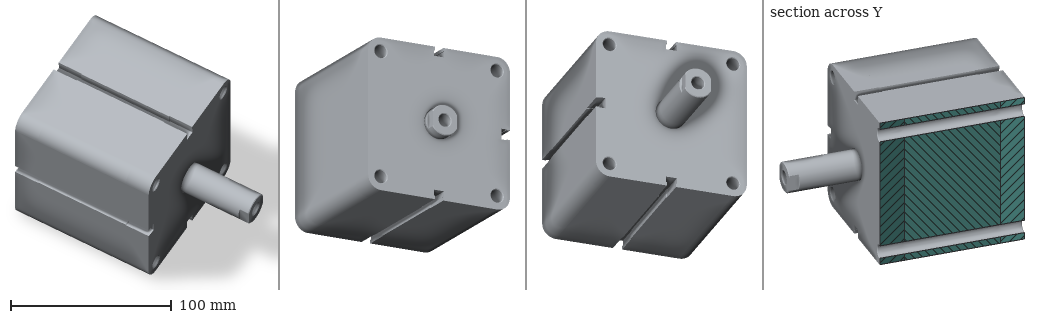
import cadquery as cq
import math


CHAMFER = 0.5

ROD_LENGTH = 152.5
ROD_DIAMETER = 20.0
FLATS_WIDTH = 17.1
FLATS_LENGTH = 6.4
FLATS_RUNOUT = 0.3
ROD_HOLE_DEPTH = 22.9
DRILL_POINT_ANGLE = 118.0

SQUARE = 100.0
CORNER_RADIUS = 9.0
ROD_STICKOUT = 8.0
CAP_LENGTH = 16.5
BARREL_LENGTH = 63.7

HOLE_DIAMETER = 8.4
HOLE_OFFSET = SQUARE / 2 - CORNER_RADIUS

SLOT_DEPTH = 6.1
BARREL_SLOT_MOUTH = 5.2
BARREL_SLOT_LIP = 2.5
CAP_SLOT_MOUTH = 6.1
CAP_SLOT_LIP = 2.3
SLOT_UNDERCUT = 0.5
SLOT_ANGLES = (0, 90, 180)


def t_slots(x_start, length, mouth, lip):
    """Three T-slot cutters: a narrow mouth at the outer face and a wider base below the lip."""
    base = mouth + 2 * SLOT_UNDERCUT
    base_height = SLOT_DEPTH - lip
    floor_z = SQUARE / 2 - SLOT_DEPTH
    cutter = (
        cq.Workplane("XY")
        .box(length, mouth, SLOT_DEPTH, centered=(False, True, False))
        .union(cq.Workplane("XY").box(length, base, base_height, centered=(False, True, False)))
        .translate((x_start, 0, floor_z))
    )
    cutters = cq.Workplane("XY")
    for angle in SLOT_ANGLES:
        cutters = cutters.add(cutter.rotate((0, 0, 0), (1, 0, 0), angle))
    return cutters.combine()


def housing_block(x_start, length, slot_mouth, slot_lip):
    """Rounded square block with the rod bore, four screw holes and three T-slots."""
    return (
        cq.Workplane("YZ", origin=(x_start, 0, 0))
        .rect(SQUARE, SQUARE)
        .extrude(length)
        .edges("|X")
        .fillet(CORNER_RADIUS)
        .cut(cq.Workplane("YZ", origin=(x_start, 0, 0)).circle(ROD_DIAMETER / 2).extrude(length))
        .cut(
            cq.Workplane("YZ", origin=(x_start, 0, 0))
            .rect(2 * HOLE_OFFSET, 2 * HOLE_OFFSET, forConstruction=True)
            .vertices()
            .circle(HOLE_DIAMETER / 2)
            .extrude(length)
        )
        .cut(t_slots(x_start, length, slot_mouth, slot_lip))
    )


def end_cap(x_start, outer_face):
    """End cap with the rod bore and screw holes chamfered on the outer face ("<X" or ">X")."""
    cap = housing_block(x_start, CAP_LENGTH, CAP_SLOT_MOUTH, CAP_SLOT_LIP)
    hole_rims = cap.faces(outer_face).edges("%CIRCLE").filter(lambda edge: edge.IsClosed())
    return hole_rims.chamfer(CHAMFER)


def rod_end_cutters():
    """Cutters for the end at X = 0: a chamfered blind hole and two wrench flats."""
    hole_radius = HOLE_DIAMETER / 2
    point_length = hole_radius / math.tan(math.radians(DRILL_POINT_ANGLE / 2))
    hole = (
        cq.Workplane("XY")
        .polyline([
            (0, 0),
            (0, hole_radius + CHAMFER),
            (CHAMFER, hole_radius),
            (ROD_HOLE_DEPTH, hole_radius),
            (ROD_HOLE_DEPTH + point_length, 0),
        ])
        .close()
        .revolve(360, (0, 0, 0), (1, 0, 0))
    )
    flat = (
        cq.Workplane("XY")
        .polyline([
            (0, FLATS_WIDTH / 2),
            (FLATS_LENGTH, FLATS_WIDTH / 2),
            (FLATS_LENGTH + FLATS_RUNOUT, ROD_DIAMETER / 2),
            (0, ROD_DIAMETER / 2),
        ])
        .close()
        .extrude(ROD_DIAMETER / 2, both=True)
    )
    return [hole, flat, flat.mirror("XZ")]


def piston_rod():
    """Round rod with chamfered ends; both ends have the same hole and flats."""
    rod = (
        cq.Workplane("YZ")
        .circle(ROD_DIAMETER / 2)
        .extrude(ROD_LENGTH)
        .faces("<X or >X")
        .chamfer(CHAMFER)
    )
    for cutter in rod_end_cutters():
        far_cutter = cutter.mirror("YZ", (ROD_LENGTH / 2, 0, 0))
        rod = rod.cut(cutter).cut(far_cutter)
    return rod


barrel_start = ROD_STICKOUT + CAP_LENGTH
barrel_end = barrel_start + BARREL_LENGTH

rear_cap = end_cap(ROD_STICKOUT, "<X")
barrel = housing_block(barrel_start, BARREL_LENGTH, BARREL_SLOT_MOUTH, BARREL_SLOT_LIP)
front_cap = end_cap(barrel_end, ">X")
rod = piston_rod()

result = cq.Compound.makeCompound([rear_cap.val(), barrel.val(), front_cap.val(), rod.val()])